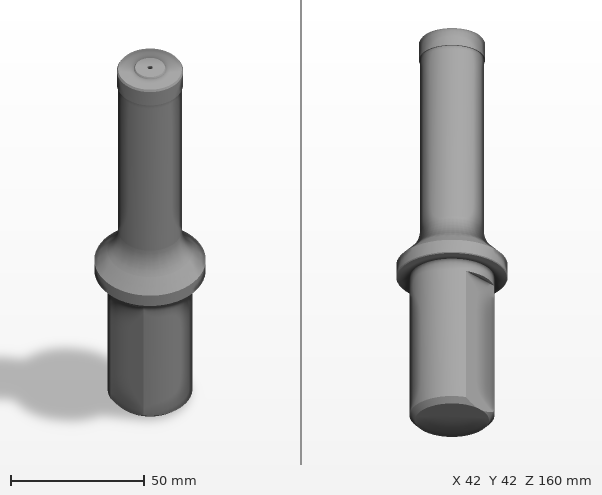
import cadquery as cq
import math

total_height = 160.0
shank_radius = 16.0
shank_chamfer = 2.0
flat_width = 16.0
flat_top = 55.2

flange_radius = 21.0
flange_bottom = 60.0
flange_edge_chamfer = 0.3
neck_radius = 12.0
neck_fillet_top = 80.0
neck_fillet_radius = 13.6
cone_angle = math.radians(45)

head_radius = 12.5
head_height = 8.2
head_edge_height = 0.8
head_edge_width = 0.5
boss_radius = 6.0
face_slope_drop = 0.2
boss_height = 0.6
boss_edge_width = 0.5
center_hole_diameter = 2.0
center_hole_depth = 1.6

head_bottom = total_height - head_height
head_face = total_height - boss_height
head_rim = head_face - face_slope_drop


def fillet_point(angle):
    """Point on the concave neck fillet, at an angle from its vertical tangent."""
    radius = neck_radius + neck_fillet_radius * (1 - math.cos(angle))
    height = neck_fillet_top - neck_fillet_radius * math.sin(angle)
    return radius, height


def make_holder():
    """Turned shank, flange and neck, with one clamping flat on the -Y side."""
    fillet_middle = fillet_point(cone_angle / 2)
    fillet_end = fillet_point(cone_angle)
    cone_drop = (flange_radius - fillet_end[0]) / math.tan(cone_angle)
    flange_top = fillet_end[1] - cone_drop
    turned = (
        cq.Workplane("XZ")
        .moveTo(0, 0)
        .lineTo(shank_radius - shank_chamfer, 0)
        .lineTo(shank_radius, shank_chamfer)
        .lineTo(shank_radius, flange_bottom)
        .lineTo(flange_radius - flange_edge_chamfer, flange_bottom)
        .lineTo(flange_radius, flange_bottom + flange_edge_chamfer)
        .lineTo(flange_radius, flange_top)
        .lineTo(*fillet_end)
        .threePointArc(fillet_middle, (neck_radius, neck_fillet_top))
        .lineTo(neck_radius, head_bottom)
        .lineTo(0, head_bottom)
        .close()
        .revolve(360, (0, 0), (0, 1))
    )
    flat_distance = math.sqrt(shank_radius**2 - (flat_width / 2) ** 2)
    flat_cutter = cq.Workplane("XY").box(
        2 * shank_radius, shank_radius, flat_top, centered=(True, False, False)
    ).translate((0, -flat_distance - shank_radius, 0))
    return turned.cut(flat_cutter)


def make_head():
    """Stepped end cap: shallow conical face with a low tapered boss and a small center hole."""
    turned = (
        cq.Workplane("XZ")
        .moveTo(0, head_bottom)
        .lineTo(head_radius, head_bottom)
        .lineTo(head_radius, head_rim - head_edge_height)
        .lineTo(head_radius - head_edge_width, head_rim)
        .lineTo(boss_radius, head_face)
        .lineTo(boss_radius - boss_edge_width, total_height)
        .lineTo(0, total_height)
        .close()
        .revolve(360, (0, 0), (0, 1))
    )
    hole = (
        cq.Workplane("XY", origin=(0, 0, total_height - center_hole_depth))
        .circle(center_hole_diameter / 2)
        .extrude(center_hole_depth)
    )
    return turned.cut(hole)


holder = make_holder()
head = make_head()

result = cq.Compound.makeCompound([holder.val(), head.val()])